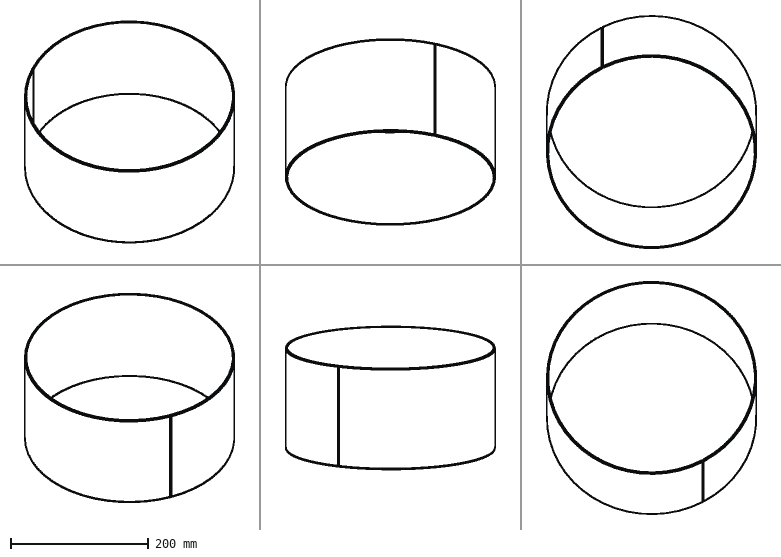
import math

import cadquery as cq

outer_diameter = 305.0
height = 150.0
wall = 2.5
slit_width = 2.4
outer_bevel_width = 0.65
outer_bevel_height = 1.8
inner_bevel_width = 0.35
inner_bevel_height = 0.6

outer_radius = outer_diameter / 2
inner_radius = outer_radius - wall
slit_angle = math.degrees(slit_width / outer_radius)


def wall_section():
    """Closed wall section on the -X side, bevelled inside and outside at both rims."""
    rim_outer = outer_radius - outer_bevel_width
    rim_inner = inner_radius + inner_bevel_width
    return (
        cq.Workplane("XZ")
        .moveTo(-rim_inner, 0)
        .lineTo(-rim_outer, 0)
        .lineTo(-outer_radius, outer_bevel_height)
        .lineTo(-outer_radius, height - outer_bevel_height)
        .lineTo(-rim_outer, height)
        .lineTo(-rim_inner, height)
        .lineTo(-inner_radius, height - inner_bevel_height)
        .lineTo(-inner_radius, inner_bevel_height)
        .close()
    )


def split_ring():
    """Sweep the section about Z, stopping short of a full turn to leave the slit.

    One end lies in the plane Y = 0; the slit is on its +Y side.
    """
    axis_start = (0, 0, 0)
    axis_end = (0, 1, 0)
    return wall_section().revolve(360 - slit_angle, axis_start, axis_end)


result = split_ring()